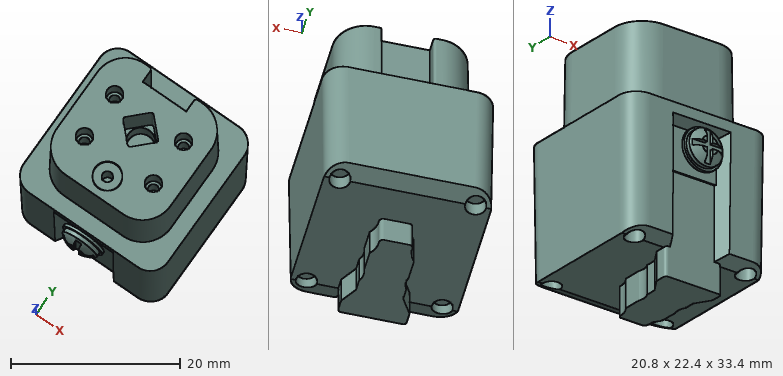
import cadquery as cq
import math

total_height = 33.4
body_top = 22.2
body_bottom = 3.9

body_width_top = 20.8
body_width_bottom = 20.45
body_corner_radius = 2.55
body_chamfer_height = 0.8
body_chamfer_run = 2.1

tower_width_base = 16.63
tower_width_top = 16.4
tower_corner_radius = 4.05
key_slot_width = 6.28
key_slot_floor_y = 6.28
key_slot_edge_radius = 0.35

contact_x = 4.98
contact_y = 3.1
contact_mouth_radius = 1.05
contact_mouth_depth = 3.35
bore_radius = 0.67
bore_depth = 3.35
ground_y = -5.48
ground_mouth_radius = 1.77
ground_mouth_depth = 0.4

diamond_y = 1.37
diamond_side = 3.67
diamond_corner_radius = 0.37
diamond_depth = 6.68
diamond_bore_radius = 1.75
diamond_bore_depth = 3.35

front_y = -body_width_top / 2
channel_floor_y = -8.5
seat_floor_y = -8.7
channel_mouth_half_width = 4.3
channel_mouth_top = 20.77
channel_side_slope = 0.53
channel_end_slope = 0.36
seat_bottom = 14.15

screw_z = 17.15
shank_radius = 1.17
washer_radius = 2.85
washer_back_y = -10.22
washer_face_y = -10.62
head_radius = 2.5
head_rim_y = -11.2
dome_mid_radius = 1.97
dome_mid_y = -11.62
crown_radius = 1.2
crown_height = 1.57
crown_y = front_y - crown_height
drive_slot_width = 0.8
drive_slot_floor_y = -11.42

underside_hole_offset_x = 8.28
underside_hole_offset_y = 8.05
underside_hole_radius = 1.27
underside_hole_depth = 2.0

tongue_center_x = 0.2
tongue_half_width = 4.18
tongue_waist_half_width = 2.87
tongue_tip_half_width = 2.05
tongue_back_y = 3.55
tongue_front_radius = 0.45
tongue_back_radius = 0.5
shoulder_y = -6.75
waist_start_y = -4.68
groove_start_y = -3.2
groove_bottom_y = -2.15
groove_end_y = -1.4
groove_half_width = 2.57
groove_front_curve_mid = (2.65, -2.67)
groove_back_curve_mid = (2.6, -1.77)
tongue_neck_half_width = 2.7
tip_curve_start_y = 1.17
tip_curve_mid = (2.17, 2.1)
tip_curve_end_y = 2.97
tongue_overlap = 3.35


def drafted_block(wide_width, narrow_width, radius, height):
    """Rounded square block on Z = 0, narrowing upwards."""
    draft = math.degrees(math.atan((wide_width - narrow_width) / 2 / height))
    block = cq.Workplane("XY").rect(wide_width, wide_width).extrude(height, taper=draft)
    return block.edges("not #Z").fillet(radius)


def cylinder_down(x, y, z_top, radius, depth):
    return cq.Workplane("XY", origin=(x, y, z_top)).circle(radius).extrude(-depth)


def stepped_hole(x, y, mouth_radius, mouth_depth):
    mouth = cylinder_down(x, y, total_height, mouth_radius, mouth_depth)
    return mouth.union(cylinder_down(x, y, total_height, bore_radius, mouth_depth + bore_depth))


def make_body():
    body_height = body_top - body_bottom
    body = drafted_block(body_width_top, body_width_bottom, body_corner_radius, body_height)
    body = body.mirror("XY").translate((0, 0, body_top))
    inner_y = body_width_bottom / 2 - body_chamfer_run
    outer_y = inner_y + 2 * body_chamfer_run
    bottom_chamfer = (
        cq.Workplane("YZ")
        .moveTo(inner_y, body_bottom)
        .lineTo(outer_y, body_bottom)
        .lineTo(outer_y, body_bottom + 2 * body_chamfer_height)
        .close()
        .extrude(body_width_top, both=True)
    )
    return body.cut(bottom_chamfer).cut(bottom_chamfer.mirror("XZ"))


def make_tower():
    tower_height = total_height - body_top
    tower = drafted_block(tower_width_base, tower_width_top, tower_corner_radius, tower_height)
    tower = tower.translate((0, 0, body_top))
    outer_y = tower_width_base / 2
    slot_depth = outer_y - key_slot_floor_y
    key_slot = cq.Workplane("XY").box(
        key_slot_width, 2 * slot_depth, tower_height, centered=(True, True, False)
    )
    tower = tower.cut(key_slot.translate((0, outer_y, body_top)))
    slot_mid_z = (body_top + total_height) / 2
    for side in (-1, 1):
        slot_corner = (side * key_slot_width / 2, outer_y, slot_mid_z)
        corner_edge = cq.selectors.NearestToPointSelector(slot_corner)
        tower = tower.edges(corner_edge).fillet(key_slot_edge_radius)
    return tower


def channel_section(y):
    """Half width and top height of the channel at a given Y."""
    inset = y - front_y
    half_width = channel_mouth_half_width - channel_side_slope * inset
    return half_width, channel_mouth_top - channel_end_slope * inset


def make_channel():
    """Channel tool, open at the bottom, less the raised screw seat at its top end."""
    wires = []
    for y in (front_y, channel_floor_y):
        half_width, top = channel_section(y)
        corners = [(-half_width, 0), (half_width, 0), (half_width, top), (-half_width, top)]
        points = [cq.Vector(x, y, z) for x, z in corners]
        wires.append(cq.Wire.makePolygon(points, close=True))
    channel = cq.Workplane(cq.Solid.makeLoft(wires, True))
    seat_half_width, seat_top = channel_section(seat_floor_y)
    seat = cq.Workplane("XY").box(
        2 * seat_half_width,
        channel_floor_y - seat_floor_y,
        seat_top - seat_bottom,
        centered=(True, False, False),
    )
    return channel.cut(seat.translate((0, seat_floor_y, seat_bottom)))


def make_screw():
    profile = (
        cq.Workplane("XY")
        .moveTo(0, channel_floor_y)
        .lineTo(shank_radius, channel_floor_y)
        .lineTo(shank_radius, washer_back_y)
        .lineTo(washer_radius, washer_back_y)
        .lineTo(washer_radius, washer_face_y)
        .lineTo(head_radius, washer_face_y)
        .lineTo(head_radius, head_rim_y)
        .threePointArc((dome_mid_radius, dome_mid_y), (crown_radius, crown_y))
        .lineTo(0, crown_y)
        .close()
    )
    screw = profile.revolve(360, (0, 0, 0), (0, 1, 0))
    slot_depth = drive_slot_floor_y - crown_y
    slots = cq.Workplane("XZ", origin=(0, drive_slot_floor_y, 0))
    for size in ((drive_slot_width, 2 * head_radius), (2 * head_radius, drive_slot_width)):
        screw = screw.cut(slots.rect(*size).extrude(slot_depth))
    return screw.translate((0, 0, screw_z))


def make_tongue():
    half = (
        cq.Workplane("XY")
        .moveTo(0, channel_floor_y)
        .lineTo(tongue_half_width, channel_floor_y)
        .lineTo(tongue_half_width, shoulder_y)
        .lineTo(tongue_waist_half_width, waist_start_y)
        .lineTo(tongue_waist_half_width, groove_start_y)
        .threePointArc(groove_front_curve_mid, (groove_half_width, groove_bottom_y))
        .threePointArc(groove_back_curve_mid, (tongue_neck_half_width, groove_end_y))
        .lineTo(tongue_neck_half_width, tip_curve_start_y)
        .threePointArc(tip_curve_mid, (tongue_tip_half_width, tip_curve_end_y))
        .lineTo(tongue_tip_half_width, tongue_back_y)
        .lineTo(0, tongue_back_y)
        .close()
        .extrude(body_bottom + tongue_overlap)
    )
    half = half.edges("|Z and >X and <Y").fillet(tongue_front_radius)
    back_corner = (tongue_tip_half_width, tongue_back_y, body_bottom / 2)
    back_edge = cq.selectors.NearestToPointSelector(back_corner)
    half = half.edges(back_edge).fillet(tongue_back_radius)
    return half.union(half.mirror("YZ")).translate((tongue_center_x, 0, 0))


def make_diamond_pocket():
    pocket = (
        cq.Workplane("XY")
        .rect(diamond_side, diamond_side)
        .extrude(-diamond_depth)
        .edges("|Z")
        .fillet(diamond_corner_radius)
        .rotate((0, 0, 0), (0, 0, 1), 45)
        .translate((0, diamond_y, total_height))
    )
    bore_reach = diamond_depth + diamond_bore_depth
    return pocket.union(cylinder_down(0, diamond_y, total_height, diamond_bore_radius, bore_reach))


def four_corners(x, y):
    return [(side * x, end * y) for side in (-1, 1) for end in (-1, 1)]


result = make_body().union(make_tower())
result = result.cut(make_channel())

for x, y in four_corners(contact_x, contact_y):
    result = result.cut(stepped_hole(x, y, contact_mouth_radius, contact_mouth_depth))
result = result.cut(stepped_hole(0, ground_y, ground_mouth_radius, ground_mouth_depth))
result = result.cut(make_diamond_pocket())

underside_hole_top = body_bottom + underside_hole_depth
for x, y in four_corners(underside_hole_offset_x, underside_hole_offset_y):
    underside_hole = cylinder_down(x, y, underside_hole_top, underside_hole_radius, underside_hole_top)
    result = result.cut(underside_hole)

result = result.union(make_tongue()).union(make_screw())